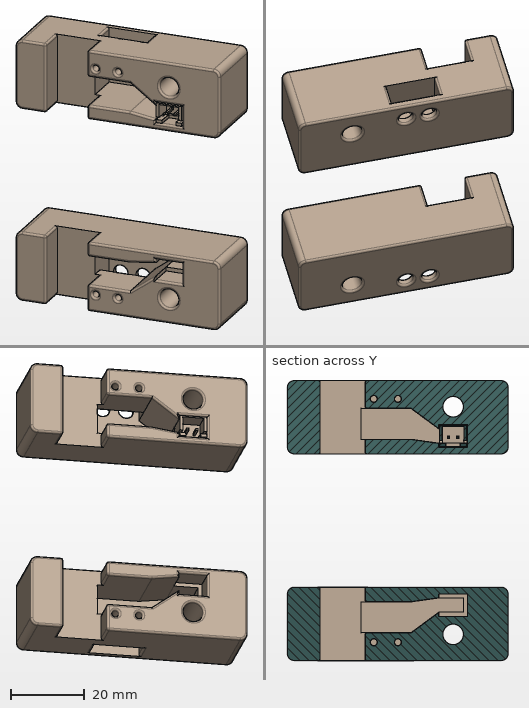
import cadquery as cq

LENGTH = 60.0
DEPTH = 20.0
HEIGHT = 20.0
OVERALL_HEIGHT = 76.0
CORNER_RADIUS = 2.0
EDGE_RADIUS = 0.6

SLOT_LEFT = 9.0
SLOT_RIGHT = 21.1
SLOT_DEPTH = 8.0

POCKET_LEFT = 20.1
POCKET_RIGHT = 33.6
POCKET_FRONT = 11.5
POCKET_BACK = 17.9

CHANNEL_BOTTOM = 4.0
CHANNEL_TOP = 12.4
CHANNEL_END = 47.8
CHANNEL_END_BOTTOM = 3.0
CHANNEL_END_TOP = 6.85

SCREW_X = (23.5, 30.0)
SCREW_Z = 15.0
PILOT_DIAMETER = 1.8
PILOT_DEPTH = 9.9
ACCESS_DIAMETER = 4.2
BOLT_X = 45.0
BOLT_Z = 12.85
BOLT_DIAMETER = 5.5

CONNECTOR_WIDTH = 7.45
CONNECTOR_HEIGHT = 5.8
CONNECTOR_LENGTH = 7.4
CONNECTOR_Z = 4.95
RECESS_WIDTH = 7.75
RECESS_HEIGHT = 6.1
RECESS_LEFT = BOLT_X - RECESS_WIDTH / 2

END_WALL = 0.8
TOP_WALL = 0.4
BOTTOM_WALL = 0.9
CAVITY_DEPTH = 5.5
END_SLOT_HEIGHT = 0.7
END_SLOT_DEPTH = 3.8
NOTCH_WIDTH = 4.1
NOTCH_DEPTH = 4.55
NOTCH_TAPER = 0.15
PIN_SIZE = 0.6
PIN_PITCH = 2.5
PIN_Z = 4.55
PIN_LENGTH = 4.2


def box(x_range, y_range, z_range):
    """Box between pairs of limits along each axis."""
    size = [limits[1] - limits[0] for limits in (x_range, y_range, z_range)]
    corner = (x_range[0], y_range[0], z_range[0])
    return cq.Workplane("XY").box(*size, centered=False).translate(corner)


def hole(x, z, diameter, y_range):
    """Cylinder along Y, used as a cutter."""
    length = y_range[1] - y_range[0]
    return cq.Workplane("XZ", origin=(x, y_range[0], z)).circle(diameter / 2).extrude(-length)


def channel():
    """Cutter for the cable channel, from the front to the back wall of the pocket."""
    outline = [
        (POCKET_LEFT, CHANNEL_BOTTOM),
        (POCKET_RIGHT, CHANNEL_BOTTOM),
        (RECESS_LEFT, CHANNEL_END_BOTTOM),
        (CHANNEL_END, CHANNEL_END_BOTTOM),
        (CHANNEL_END, CHANNEL_END_TOP),
        (RECESS_LEFT, CHANNEL_END_TOP),
        (POCKET_RIGHT, CHANNEL_TOP),
        (POCKET_LEFT, CHANNEL_TOP),
    ]
    return cq.Workplane("XZ").polyline(outline).close().extrude(-POCKET_BACK)


def round_edges(body):
    """Round the front and back with their openings, and the side edges of slot and pocket."""
    slot_region = cq.selectors.BoxSelector((0, 0, 0), (POCKET_RIGHT, SLOT_DEPTH, HEIGHT))
    slot_edges = body.faces("|X").faces(slot_region).edges("|Y")
    pocket_region = cq.selectors.BoxSelector(
        (SLOT_LEFT, POCKET_FRONT, 0), (BOLT_X, POCKET_BACK, HEIGHT + EDGE_RADIUS)
    )
    pocket_edges = body.faces(">Z").edges("|Y").edges(pocket_region)
    edges = body.faces("<Y or >Y").edges().add(slot_edges).add(pocket_edges)
    return edges.fillet(EDGE_RADIUS)


def make_housing():
    """Housing with its pocket opening upwards."""
    body = box((0, LENGTH), (0, DEPTH), (0, HEIGHT)).edges("|Y").fillet(CORNER_RADIUS)
    body = body.cut(box((SLOT_LEFT, SLOT_RIGHT), (0, SLOT_DEPTH), (0, HEIGHT)))

    pocket_x = (POCKET_LEFT, POCKET_RIGHT)
    pocket_y = (POCKET_FRONT, POCKET_BACK)
    body = body.cut(box(pocket_x, pocket_y, (CHANNEL_BOTTOM, HEIGHT)))
    body = body.cut(channel())
    recess_x = (RECESS_LEFT, RECESS_LEFT + RECESS_WIDTH)
    recess_z = (CONNECTOR_Z - RECESS_HEIGHT / 2, CONNECTOR_Z + RECESS_HEIGHT / 2)
    body = body.cut(box(recess_x, (0, CONNECTOR_LENGTH), recess_z))

    for x in SCREW_X:
        body = body.cut(hole(x, SCREW_Z, PILOT_DIAMETER, (0, PILOT_DEPTH)))
        body = body.cut(hole(x, SCREW_Z, ACCESS_DIAMETER, (POCKET_BACK, DEPTH)))
    body = body.cut(hole(BOLT_X, BOLT_Z, BOLT_DIAMETER, (0, DEPTH)))
    return round_edges(body)


def make_connector():
    """Two-pin connector whose open side faces the front."""
    left = BOLT_X - CONNECTOR_WIDTH / 2
    right = left + CONNECTOR_WIDTH
    bottom = CONNECTOR_Z - CONNECTOR_HEIGHT / 2
    top = bottom + CONNECTOR_HEIGHT
    cavity_bottom = bottom + BOTTOM_WALL
    body = box((left, right), (0, CONNECTOR_LENGTH), (bottom, top))

    cavity_x = (left + END_WALL, right - END_WALL)
    body = body.cut(box(cavity_x, (0, CAVITY_DEPTH), (cavity_bottom, top - TOP_WALL)))

    slot_top = cavity_bottom + END_SLOT_HEIGHT
    end_slot = [
        (0, cavity_bottom),
        (END_SLOT_DEPTH - END_SLOT_HEIGHT, cavity_bottom),
        (END_SLOT_DEPTH, slot_top),
        (0, slot_top),
    ]
    end_slot_profile = cq.Workplane("YZ", origin=(left, 0, 0)).polyline(end_slot).close()
    body = body.cut(end_slot_profile.extrude(CONNECTOR_WIDTH))

    half_notch = NOTCH_WIDTH / 2
    half_back = half_notch - NOTCH_TAPER
    notch = [
        (BOLT_X - half_notch, 0),
        (BOLT_X + half_notch, 0),
        (BOLT_X + half_back, NOTCH_DEPTH),
        (BOLT_X - half_back, NOTCH_DEPTH),
    ]
    body = body.cut(
        cq.Workplane("XY", origin=(0, 0, bottom)).polyline(notch).close().extrude(BOTTOM_WALL)
    )

    for side in (-1, 1):
        pin = cq.Workplane("XZ", origin=(BOLT_X + side * PIN_PITCH / 2, CAVITY_DEPTH, PIN_Z))
        body = body.union(pin.rect(PIN_SIZE, PIN_SIZE).extrude(PIN_LENGTH))
    return body


upper_base = OVERALL_HEIGHT - HEIGHT
upper_housing = make_housing().translate((0, 0, upper_base))
lower_housing = make_housing().mirror("XY").translate((0, 0, HEIGHT))
connector = make_connector().translate((0, 0, upper_base))

result = cq.Compound.makeCompound([upper_housing.val(), lower_housing.val(), connector.val()])